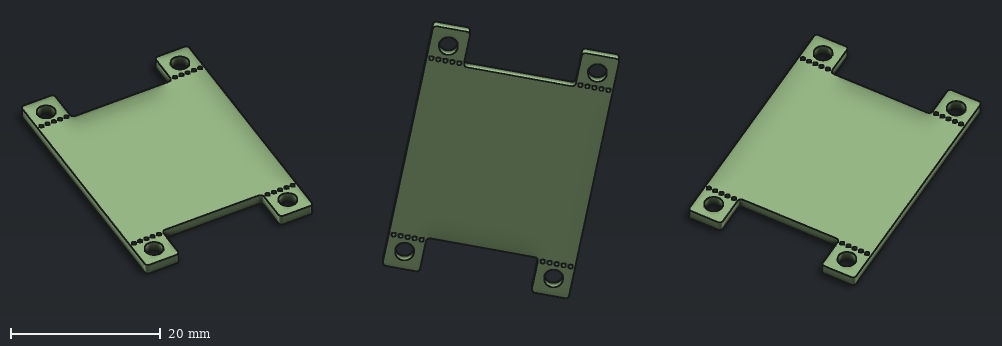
import cadquery as cq

GRID = 2.54
BODY_SIDE = 10 * GRID
TAB_SIDE = 2 * GRID
THICKNESS = 1.6
OUTER_LENGTH = BODY_SIDE + 2 * TAB_SIDE
CORNER_RADIUS = 0.508

MOUNT_DIAMETER = 2.54
MOUNT_X = (BODY_SIDE + TAB_SIDE) / 2
MOUNT_Y = (BODY_SIDE - TAB_SIDE) / 2

PERFORATION_DIAMETER = 0.6
PERFORATION_COUNT = 5
PERFORATION_PITCH = 0.9525
PERFORATION_OFFSET = 0.381
PERFORATION_X = BODY_SIDE / 2 + PERFORATION_OFFSET


def make_plate():
    """H-shaped plate: a square body with a tab at each corner, all corners rounded."""
    body = cq.Workplane("XY").rect(BODY_SIDE, BODY_SIDE).extrude(THICKNESS)
    for side in (-1, 1):
        strip = (
            cq.Workplane("XY")
            .center(0, side * MOUNT_Y)
            .rect(OUTER_LENGTH, TAB_SIDE)
            .extrude(THICKNESS)
        )
        body = body.union(strip)
    return body.clean().edges("|Z").fillet(CORNER_RADIUS)


def drill(plate, centers, diameter):
    """Cut through holes of one diameter at the given centers."""
    holes = cq.Workplane("XY").pushPoints(centers).circle(diameter / 2).extrude(THICKNESS)
    return plate.cut(holes)


def perforation_row(side_x, side_y):
    """Centers of the perforations of one tab, evenly spaced about the tab's middle."""
    middle = (PERFORATION_COUNT - 1) / 2
    return [
        (side_x * PERFORATION_X, side_y * MOUNT_Y + (index - middle) * PERFORATION_PITCH)
        for index in range(PERFORATION_COUNT)
    ]


result = make_plate()
for side_x in (-1, 1):
    for side_y in (-1, 1):
        result = drill(result, [(side_x * MOUNT_X, side_y * MOUNT_Y)], MOUNT_DIAMETER)
        result = drill(result, perforation_row(side_x, side_y), PERFORATION_DIAMETER)